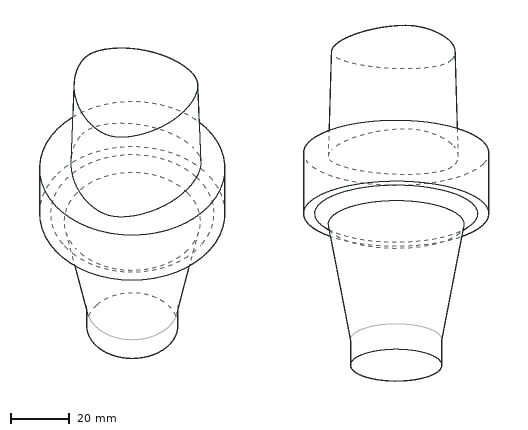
import cadquery as cq
import math

total_height = 115.0
flange_diameter = 63.0
flange_height = 22.1
shank_height = 38.0
tip_diameter = 31.0
tip_height = 9.2
neck_diameter = 46.2
collar_height = 3.9
collar_diameter = 55.4

shank_base_radius = 22.1
shank_top_radius = 21.0
shank_lobe = 1.5
profile_points = 72

flange_top = total_height - shank_height
flange_bottom = flange_top - flange_height
neck_top = flange_bottom - collar_height


def lobed_profile(mean_radius):
    """Return points round a closed three-lobed curve of constant width, starting at the lobe on -Y."""
    points = []
    for index in range(profile_points):
        turn = 2 * math.pi * index / profile_points
        along_lobe = (
            mean_radius * math.cos(turn)
            + 2 * shank_lobe * math.cos(2 * turn)
            - shank_lobe * math.cos(4 * turn)
        )
        across_lobe = (
            mean_radius * math.sin(turn)
            - 2 * shank_lobe * math.sin(2 * turn)
            - shank_lobe * math.sin(4 * turn)
        )
        points.append((across_lobe, -along_lobe))
    return points


def make_body():
    """Revolve the round tip, tapered neck, collar and flange about Z."""
    return (
        cq.Workplane("XZ")
        .lineTo(tip_diameter / 2, 0)
        .lineTo(tip_diameter / 2, tip_height)
        .lineTo(neck_diameter / 2, neck_top)
        .lineTo(collar_diameter / 2, flange_bottom)
        .lineTo(flange_diameter / 2, flange_bottom)
        .lineTo(flange_diameter / 2, flange_top)
        .lineTo(0, flange_top)
        .close()
        .revolve(360, (0, 0), (0, 1))
    )


def make_shank():
    """Loft the tapered three-lobed shank that stands on the flange."""
    return (
        cq.Workplane("XY", origin=(0, 0, flange_top))
        .spline(lobed_profile(shank_base_radius), periodic=True)
        .close()
        .workplane(offset=shank_height)
        .spline(lobed_profile(shank_top_radius), periodic=True)
        .close()
        .loft(ruled=True)
    )


result = make_body().union(make_shank())